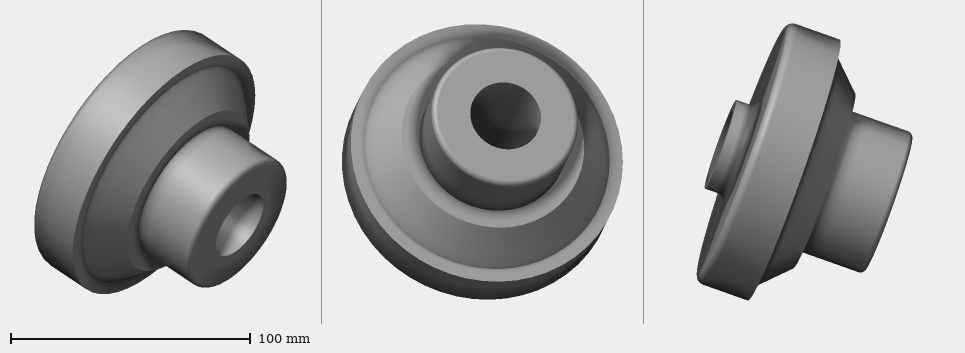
import cadquery as cq

bore_diameter = 30.0
hub_diameter = 39.3
disc_diameter = 115.5
cone_base_diameter = 104.2
cone_tip_diameter = 77.6
boss_diameter = 62.4

hub_length = 9.2
disc_thickness = 23.2
cone_length = 13.4
boss_length = 28.6

disc_edge_radius = 3.5
hub_root_radius = 3.5
boss_edge_radius = 2.3

disc_front = hub_length
disc_back = disc_front + disc_thickness
cone_end = disc_back + cone_length
boss_end = cone_end + boss_length


def cylinder_stage(diameter, start, end):
    """Solid cylinder around the X axis between two axial positions."""
    return cq.Workplane("YZ", origin=(start, 0, 0)).circle(diameter / 2).extrude(end - start)


def cone_stage():
    """Truncated cone tapering from the disc toward the boss."""
    profile = [
        (disc_back, 0),
        (disc_back, cone_base_diameter / 2),
        (cone_end, cone_tip_diameter / 2),
        (cone_end, 0),
    ]
    return cq.Workplane("XY").polyline(profile).close().revolve(360, (0, 0, 0), (1, 0, 0))


disc = cylinder_stage(disc_diameter, disc_front, disc_back)
disc = disc.faces("<X").edges().fillet(disc_edge_radius)

hub = cylinder_stage(hub_diameter, 0, disc_front)
hub_root = cq.selectors.RadiusNthSelector(0)
body = disc.union(hub).faces(cq.selectors.NearestToPointSelector((disc_front, 0, 0)))
body = body.edges(hub_root).fillet(hub_root_radius)

boss = cylinder_stage(boss_diameter, cone_end, boss_end)
boss = boss.faces(">X").edges().fillet(boss_edge_radius)

bore = cylinder_stage(bore_diameter, 0, boss_end)

result = body.union(cone_stage()).union(boss).cut(bore)